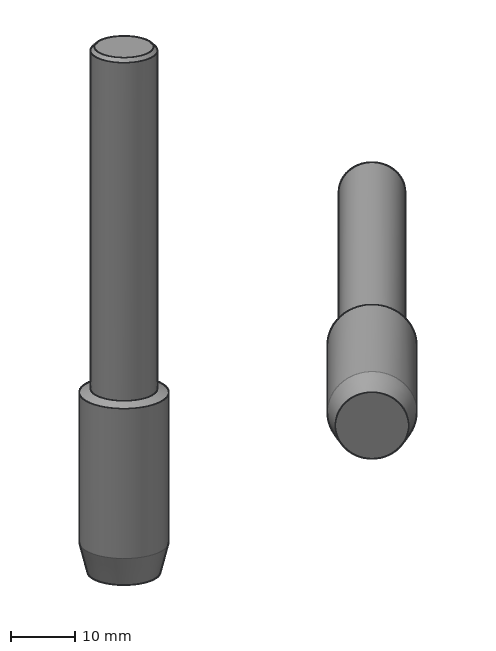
import cadquery as cq

total_length = 88.0
head_diameter = 14.0
head_tip_diameter = 11.4
head_tip_height = 5.0
head_height = 30.7
shoulder_height = 0.6
shank_diameter = 10.5
shank_chamfer = 0.6

head_radius = head_diameter / 2
head_tip_radius = head_tip_diameter / 2
shank_radius = shank_diameter / 2
shank_length = total_length - head_height


def make_head():
    """Turned head: tapered tip, cylinder, and shoulder sloping up to the shank."""
    return (
        cq.Workplane("XZ")
        .moveTo(0, 0)
        .lineTo(head_tip_radius, 0)
        .lineTo(head_radius, head_tip_height)
        .lineTo(head_radius, head_height - shoulder_height)
        .lineTo(shank_radius, head_height)
        .lineTo(0, head_height)
        .close()
        .revolve(360, (0, 0), (0, 1))
    )


def make_shank():
    """Round shank standing on the head, chamfered at its free end."""
    return (
        cq.Workplane("XY", origin=(0, 0, head_height))
        .circle(shank_radius)
        .extrude(shank_length)
        .faces(">Z")
        .chamfer(shank_chamfer)
    )


head = make_head()
shank = make_shank()

result = cq.Compound.makeCompound([head.val(), shank.val()])